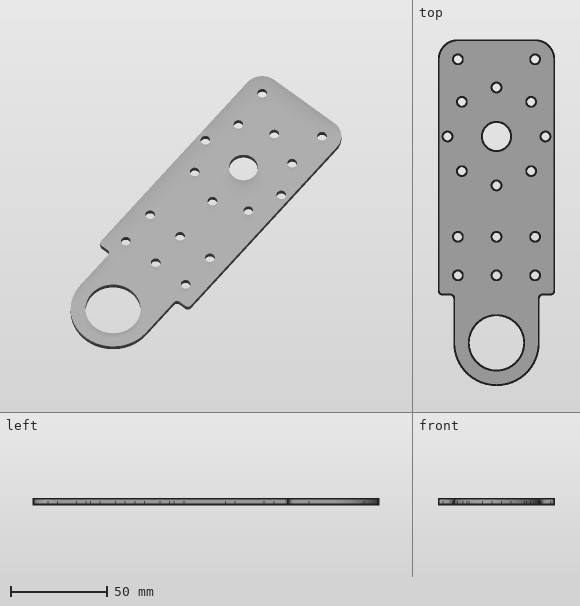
import cadquery as cq

thickness = 3.175
plate_width = 60.0
total_length = 179.0
ring_radius = 22.0
ring_bore_diameter = 28.6
shoulder_y = 25.0
top_y = total_length - ring_radius

top_corner_radius = 10.0
shoulder_corner_radius = 2.0
neck_fillet_radius = 2.0

small_hole_diameter = 5.0
hub_bore_diameter = 15.0
hub_distance_from_top = 50.0
hub_y = top_y - hub_distance_from_top
bolt_circle_radius = 25.4
bolt_count = 8
hole_pitch = 20.0
edge_distance = 10.0


def plate_body():
    """Rectangular plate with rounded corners."""
    body_length = top_y - shoulder_y
    return (
        cq.Workplane("XY")
        .center(0, shoulder_y + body_length / 2)
        .rect(plate_width, body_length)
        .extrude(thickness)
        .edges("|Z and >Y")
        .fillet(top_corner_radius)
        .edges("|Z and <Y")
        .fillet(shoulder_corner_radius)
    )


def ring_tongue():
    """Straight-sided neck that ends in a half-round, concentric with the ring bore."""
    return (
        cq.Workplane("XY")
        .moveTo(-ring_radius, shoulder_y)
        .lineTo(-ring_radius, 0)
        .threePointArc((0, -ring_radius), (ring_radius, 0))
        .lineTo(ring_radius, shoulder_y)
        .close()
        .extrude(thickness)
    )


def fillet_neck(body):
    """Round the two inside corners where the neck meets the shoulders."""
    half_size = neck_fillet_radius / 2
    for side in (-1, 1):
        corner_x = side * ring_radius
        corner = cq.selectors.BoxSelector(
            (corner_x - half_size, shoulder_y - half_size, 0),
            (corner_x + half_size, shoulder_y + half_size, thickness),
        )
        body = body.edges("|Z").edges(corner).fillet(neck_fillet_radius)
    return body


def through_holes(points, diameter):
    """Cylinders through the full thickness at the given points."""
    return cq.Workplane("XY").pushPoints(points).circle(diameter / 2).extrude(thickness)


def bolt_circle_holes():
    """Small holes equally spaced around the hub bore."""
    return (
        cq.Workplane("XY")
        .center(0, hub_y)
        .polarArray(bolt_circle_radius, 0, 360, bolt_count)
        .circle(small_hole_diameter / 2)
        .extrude(thickness)
    )


grid_columns = (-hole_pitch, 0, hole_pitch)
first_row_y = shoulder_y + edge_distance
grid_rows = (first_row_y, first_row_y + hole_pitch)
grid_points = [(x, y) for x in grid_columns for y in grid_rows]
top_corner_points = [(side * hole_pitch, top_y - edge_distance) for side in (-1, 1)]

result = fillet_neck(plate_body().union(ring_tongue()))
result = result.cut(through_holes([(0, 0)], ring_bore_diameter))
result = result.cut(through_holes([(0, hub_y)], hub_bore_diameter))
result = result.cut(through_holes(grid_points + top_corner_points, small_hole_diameter))
result = result.cut(bolt_circle_holes())